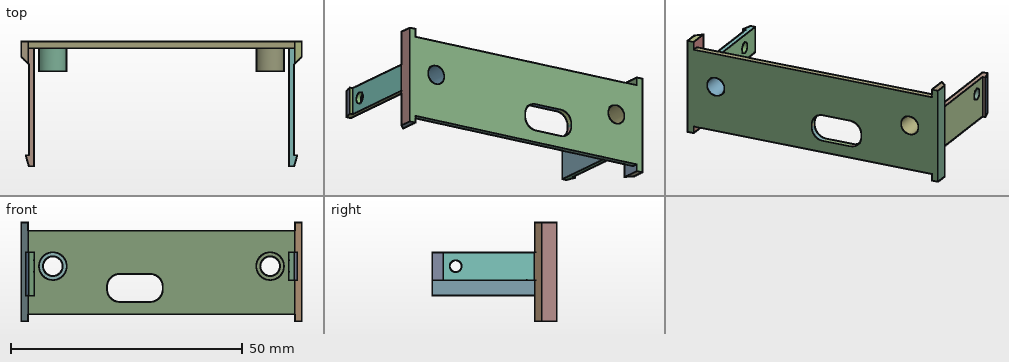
import cadquery as cq

width = 60.71
depth = 27.0
height = 21.45

plate_thickness = 1.5
plate_bottom = 1.55
plate_height = 18.1

flange_thickness = 1.5
flange_side_depth = 3.3

arm_thickness = 1.15
arm_gap = 0.15
arm_top = 14.95
left_arm_height = 9.35
right_arm_height = 6.0
hook_length = 2.4
hook_reach = 0.7
bridge_height = 6.0
arm_hole_diameter = 2.5
arm_hole_from_tip = 5.1

boss_diameter = 6.0
boss_bore = 4.2
boss_length = 5.0
boss_spacing = 47.0
boss_z = arm_top - right_arm_height / 2

window_width = 12.0
window_height = 6.0
window_corner_radius = 2.7
window_x = -5.75
window_z = 7.25

half_width = width / 2
flange_inner_x = half_width - flange_thickness
arm_outer_x = flange_inner_x - arm_gap
arm_inner_x = arm_outer_x - arm_thickness
flange_front_y = -(flange_side_depth + flange_thickness)
bridge_front_y = flange_front_y - arm_gap
hook_back_y = -depth + hook_length


def extrude_profile(points, bottom, length):
    """Extrude an XY outline upward from the given Z."""
    return cq.Workplane("XY").workplane(offset=bottom).polyline(points).close().extrude(length)


def make_plate():
    return cq.Workplane("XY").box(
        2 * flange_inner_x, plate_thickness, plate_height, centered=(True, False, False)
    ).translate((0, -plate_thickness, plate_bottom))


def make_flange():
    """Flange for the +X end."""
    outline = [
        (flange_inner_x, 0),
        (half_width, 0),
        (half_width, -flange_side_depth),
        (flange_inner_x, flange_front_y),
    ]
    return extrude_profile(outline, 0, height)


def make_arm(arm_height):
    """Arm for the +X end, with its outward hook, cross hole and bridge to the flange."""
    arm_outline = [
        (arm_inner_x, -plate_thickness),
        (arm_outer_x, -plate_thickness),
        (arm_outer_x, hook_back_y),
        (arm_outer_x + hook_reach, hook_back_y),
        (arm_outer_x, -depth),
        (arm_inner_x, -depth),
    ]
    arm = extrude_profile(arm_outline, arm_top - arm_height, arm_height)

    bridge_outline = [
        (arm_outer_x, -plate_thickness),
        (flange_inner_x, -plate_thickness),
        (flange_inner_x, flange_front_y),
        (arm_outer_x, bridge_front_y),
    ]
    bridge = extrude_profile(bridge_outline, arm_top - bridge_height, bridge_height)

    hole = (
        cq.Workplane("YZ")
        .center(-depth + arm_hole_from_tip, boss_z)
        .circle(arm_hole_diameter / 2)
        .extrude(half_width)
    )
    return arm.union(bridge).cut(hole)


def boss_cylinders(diameter, depth_into_plate):
    """Cylinders at both boss places, from the boss ends back to a depth inside the plate."""
    front_y = -plate_thickness - boss_length
    cylinders = cq.Workplane("XZ", origin=(0, front_y, boss_z))
    return (
        cylinders.pushPoints([(-boss_spacing / 2, 0), (boss_spacing / 2, 0)])
        .circle(diameter / 2)
        .extrude(-(boss_length + depth_into_plate))
    )


def make_window():
    return (
        cq.Workplane("XY")
        .box(window_width, plate_thickness, window_height)
        .edges("|Y")
        .fillet(window_corner_radius)
        .translate((window_x, -plate_thickness / 2, window_z))
    )


right_end = make_flange().union(make_arm(right_arm_height))
left_end = make_flange().union(make_arm(left_arm_height)).mirror("YZ")

result = make_plate().union(right_end).union(left_end)
result = result.union(boss_cylinders(boss_diameter, 0))
result = result.cut(boss_cylinders(boss_bore, plate_thickness))
result = result.cut(make_window())